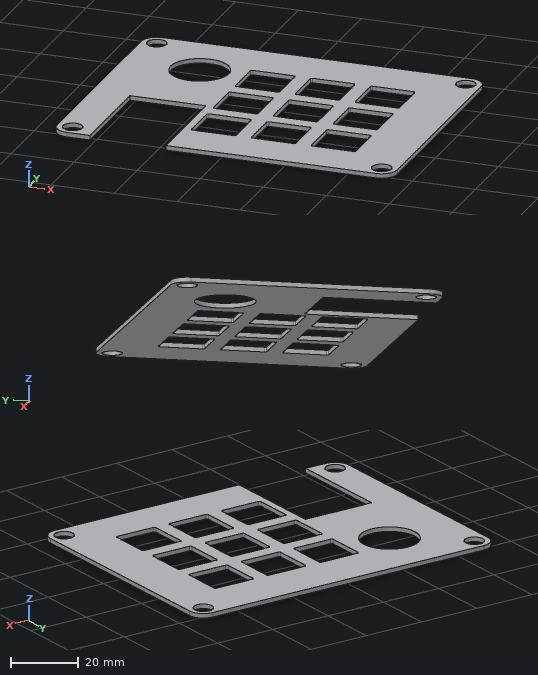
import cadquery as cq

length = 108.0
width = 83.0
thickness = 1.5
corner_radius = 5.0

mount_diameter = 6.0

knob_diameter = 18.4
knob_x = 24.5
knob_y = 61.9

key_count = 3
key_size = 14.0
key_pitch = 19.0
key_corner_radius = 0.5
key_center_x = 65.0
key_center_y = 40.8

notch_left = 12.3
notch_width = 24.0
notch_depth = 34.8


def make_plate():
    plate = cq.Workplane("XY").box(length, width, thickness, centered=False)
    return plate.edges("|Z").fillet(corner_radius)


def mount_holes():
    x_positions = (corner_radius, length - corner_radius)
    y_positions = (corner_radius, width - corner_radius)
    centers = [(x, y) for x in x_positions for y in y_positions]
    return cq.Workplane("XY").pushPoints(centers).circle(mount_diameter / 2).extrude(thickness)


def knob_opening():
    return cq.Workplane("XY").center(knob_x, knob_y).circle(knob_diameter / 2).extrude(thickness)


def key_openings():
    return (
        cq.Workplane("XY")
        .center(key_center_x, key_center_y)
        .rarray(key_pitch, key_pitch, key_count, key_count)
        .rect(key_size, key_size)
        .extrude(thickness)
        .edges("|Z")
        .fillet(key_corner_radius)
    )


def notch():
    return (
        cq.Workplane("XY")
        .center(notch_left, 0)
        .rect(notch_width, notch_depth, centered=False)
        .extrude(thickness)
    )


result = (
    make_plate()
    .cut(mount_holes())
    .cut(knob_opening())
    .cut(key_openings())
    .cut(notch())
)